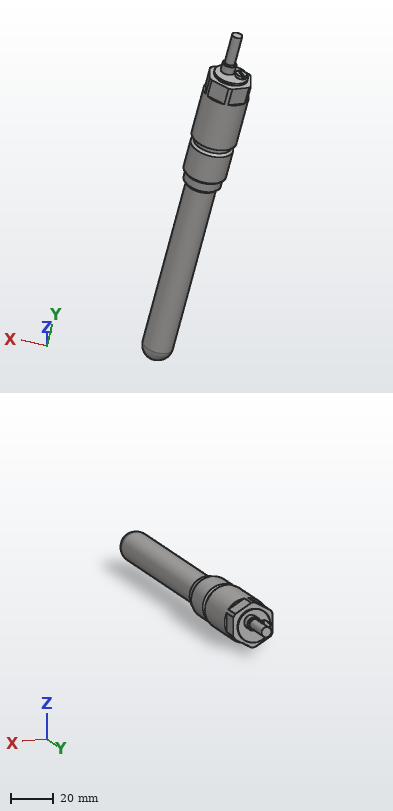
import cadquery as cq
import math

total_length = 180.97

rod_dia = 15.0
neck_dia = 18.4
collar_dia = 20.96
body_dia = 22.1
groove_dia = 15.2
flange_dia = 16.5
boss_dia = 6.8
cable_dia = 5.0
screw_head_dia = 5.5

cable_length = 15.4
boss_length = 4.8
flange_length = 1.1
groove_length = 0.6
hex_length = 8.9
body_length = 25.4
upper_neck_length = 3.0
collar_length = 17.4
lower_neck_length = 4.4

hex_across_flats = 20.0
boss_chamfer = 0.6
cable_x = 1.8
cable_z = 2.2
screw_head_height = 1.6
screw_x = -4.6
screw_z = -0.3
screw_slot_width = 0.8
screw_slot_depth = 1.2
screw_slot_angle = 25.0

cable_base_y = total_length - cable_length
flange_top_y = cable_base_y - boss_length
groove_top_y = flange_top_y - flange_length
hex_top_y = groove_top_y - groove_length
hex_base_y = hex_top_y - hex_length
body_base_y = hex_base_y - body_length
collar_top_y = body_base_y - upper_neck_length
collar_base_y = collar_top_y - collar_length
neck_base_y = collar_base_y - lower_neck_length


def cylinder(diameter, start_y, length, x=0.0, z=0.0):
    """Cylinder along +Y that starts at start_y."""
    return cq.Workplane(cq.Solid.makeCylinder(
        diameter / 2, length, cq.Vector(x, start_y, z), cq.Vector(0, 1, 0)))


def make_revolved_stages():
    """Round-tipped rod, necks, chamfered collar, body, groove and flange as one turned shape."""
    rod_r = rod_dia / 2
    neck_r = neck_dia / 2
    collar_r = collar_dia / 2
    body_r = body_dia / 2
    collar_chamfer = collar_r - neck_r
    cone_height = neck_r - rod_r
    tip_mid = rod_r * math.sqrt(0.5)
    return (
        cq.Workplane("XY")
        .moveTo(0, 0)
        .threePointArc((tip_mid, rod_r - tip_mid), (rod_r, rod_r))
        .lineTo(rod_r, neck_base_y - cone_height)
        .lineTo(neck_r, neck_base_y)
        .lineTo(neck_r, collar_base_y)
        .lineTo(collar_r, collar_base_y + collar_chamfer)
        .lineTo(collar_r, collar_top_y - collar_chamfer)
        .lineTo(neck_r, collar_top_y)
        .lineTo(neck_r, body_base_y)
        .lineTo(body_r, body_base_y)
        .lineTo(body_r, hex_top_y)
        .lineTo(groove_dia / 2, hex_top_y)
        .lineTo(groove_dia / 2, groove_top_y)
        .lineTo(flange_dia / 2, groove_top_y)
        .lineTo(flange_dia / 2, flange_top_y)
        .lineTo(0, flange_top_y)
        .close()
        .revolve(360, (0, 0, 0), (0, 1, 0))
    )


def cut_wrench_flats(part):
    """Cut six flats into the end of the body, one pair square to X."""
    flat_count = 6
    flat_depth = body_dia / 2
    for index in range(flat_count):
        flat = (
            cq.Workplane("XY")
            .box(flat_depth, hex_length, body_dia)
            .translate((hex_across_flats / 2 + flat_depth / 2, hex_top_y - hex_length / 2, 0))
            .rotate((0, 0, 0), (0, 1, 0), index * 360 / flat_count)
        )
        part = part.cut(flat)
    return part


def make_cable_outlet():
    """Chamfered boss with the cable leaving it, on their own axis off the part centre."""
    boss = cylinder(boss_dia, flange_top_y, boss_length, cable_x, cable_z)
    boss = boss.faces(">Y").chamfer(boss_chamfer)
    cable = cylinder(cable_dia, flange_top_y, boss_length + cable_length, cable_x, cable_z)
    return boss.union(cable)


def make_screw_head():
    """Low slotted screw head beside the cable outlet, its slot turned about Y away from Z."""
    head = cylinder(screw_head_dia, flange_top_y, screw_head_height, screw_x, screw_z)
    slot_y = flange_top_y + screw_head_height - screw_slot_depth / 2
    slot = (
        cq.Workplane("XY")
        .box(screw_slot_width, screw_slot_depth, 2 * screw_head_dia)
        .rotate((0, 0, 0), (0, 1, 0), screw_slot_angle)
        .translate((screw_x, slot_y, screw_z))
    )
    return head.cut(slot)


result = cut_wrench_flats(make_revolved_stages()).union(make_cable_outlet()).union(make_screw_head())